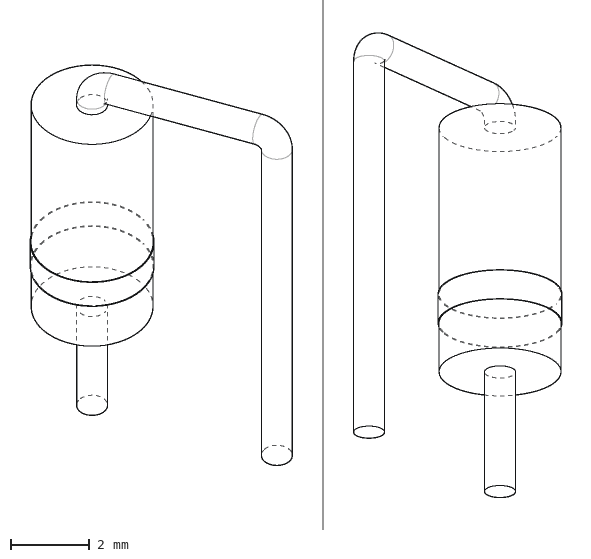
import cadquery as cq

body_diameter = 3.1
body_bottom = 0.0
body_length = 6.74

band_diameter = 3.15
band_bottom = 1.35
band_width = 0.8

lead_diameter = 0.79
lead_pitch = 5.08
lead_length_below_body = 3.3
lead_bend_radius = 0.5
overall_height = 11.12

body_top = body_bottom + body_length
lead_bottom = body_bottom - lead_length_below_body
lead_crest = lead_bottom + overall_height - lead_diameter / 2


def upright_cylinder(diameter, bottom, height):
    """Cylinder on the body axis, rising from the given level."""
    return cq.Workplane("XY").workplane(offset=bottom).circle(diameter / 2).extrude(height)


def make_body():
    """Cylindrical body with its raised band."""
    body = upright_cylinder(body_diameter, body_bottom, body_length)
    band = upright_cylinder(band_diameter, band_bottom, band_width)
    return body.union(band)


def make_bent_lead():
    """Lead that leaves the body top, crosses over and drops to the lower lead's level."""
    bend_start = lead_crest - lead_bend_radius
    path = (
        cq.Workplane("XZ")
        .moveTo(0, body_top)
        .lineTo(0, bend_start)
        .radiusArc((lead_bend_radius, lead_crest), lead_bend_radius)
        .lineTo(lead_pitch - lead_bend_radius, lead_crest)
        .radiusArc((lead_pitch, bend_start), lead_bend_radius)
        .lineTo(lead_pitch, lead_bottom)
    )
    return cq.Workplane("XY").workplane(offset=body_top).circle(lead_diameter / 2).sweep(path)


def make_straight_lead():
    """Lead that drops straight down from the body bottom."""
    return upright_cylinder(lead_diameter, lead_bottom, lead_length_below_body)


result = make_body().union(make_straight_lead()).union(make_bent_lead())